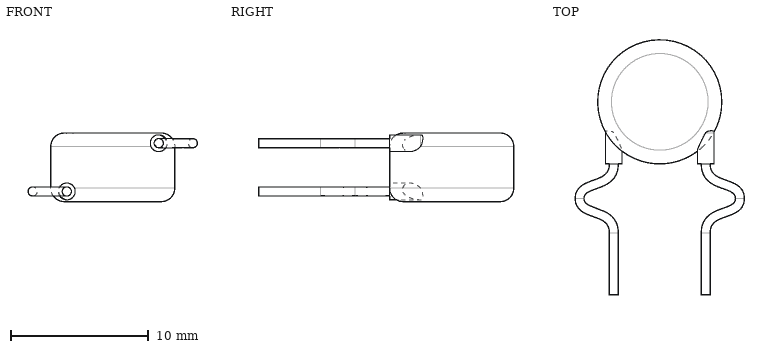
import cadquery as cq

OVERALL_LENGTH = 18.5
BODY_DIAMETER = 9.01
BODY_HEIGHT = 5.0
BODY_EDGE_RADIUS = 1.0

LEAD_DIAMETER = 0.67
LEAD_SPACING = 6.66
LEAD_LEVEL_SPACING = 3.5
LEAD_KINK_REACH = 2.48
LEAD_KINK_LENGTH = 5.0
ROOT_HANDLE = 1.85
PEAK_HANDLE = 1.35

SLEEVE_DIAMETER = 1.22
SLEEVE_ROOT_RADIUS = 0.25

body_radius = BODY_DIAMETER / 2
sleeve_start_y = -body_radius / 2 + SLEEVE_ROOT_RADIUS
sleeve_end_y = -body_radius
kink_peak_y = sleeve_end_y - LEAD_KINK_LENGTH / 2
kink_end_y = sleeve_end_y - LEAD_KINK_LENGTH
lead_end_y = body_radius - OVERALL_LENGTH


def lead_axis(side):
    """X and Z of a lead axis: side -1 is low on the left, +1 is high on the right."""
    return side * LEAD_SPACING / 2, side * LEAD_LEVEL_SPACING / 2


def make_sleeve(side):
    """Coating sleeve around a lead root, rounded at the end inside the disc."""
    x, z = lead_axis(side)
    return (
        cq.Workplane("XZ", origin=(x, sleeve_start_y, z))
        .circle(SLEEVE_DIAMETER / 2)
        .extrude(sleeve_start_y - sleeve_end_y)
        .faces(">Y")
        .edges()
        .fillet(SLEEVE_ROOT_RADIUS)
    )


def make_body():
    """Rounded disc with a coating sleeve around the root of each lead."""
    body = (
        cq.Workplane("XY", origin=(0, 0, -BODY_HEIGHT / 2))
        .circle(body_radius)
        .extrude(BODY_HEIGHT)
        .faces("<Z or >Z")
        .edges()
        .fillet(BODY_EDGE_RADIUS)
    )
    for side in (-1, 1):
        body = body.union(make_sleeve(side))
    return body


def make_lead(side):
    """Round wire that starts on the sleeve face, kinks outward and back, then runs straight."""
    x, z = lead_axis(side)
    peak_x = x + side * LEAD_KINK_REACH
    path = (
        cq.Workplane("XY", origin=(0, 0, z))
        .moveTo(x, sleeve_end_y)
        .bezier([
            (x, sleeve_end_y),
            (x, sleeve_end_y - ROOT_HANDLE),
            (peak_x, kink_peak_y + PEAK_HANDLE),
            (peak_x, kink_peak_y),
        ])
        .bezier([
            (peak_x, kink_peak_y),
            (peak_x, kink_peak_y - PEAK_HANDLE),
            (x, kink_end_y + ROOT_HANDLE),
            (x, kink_end_y),
        ])
        .lineTo(x, lead_end_y)
    )
    return (
        cq.Workplane("XZ", origin=(x, sleeve_end_y, z))
        .circle(LEAD_DIAMETER / 2)
        .sweep(path)
    )


body = make_body()
leads = [make_lead(side) for side in (-1, 1)]

result = cq.Compound.makeCompound([*body.solids().vals(), *[lead.val() for lead in leads]])